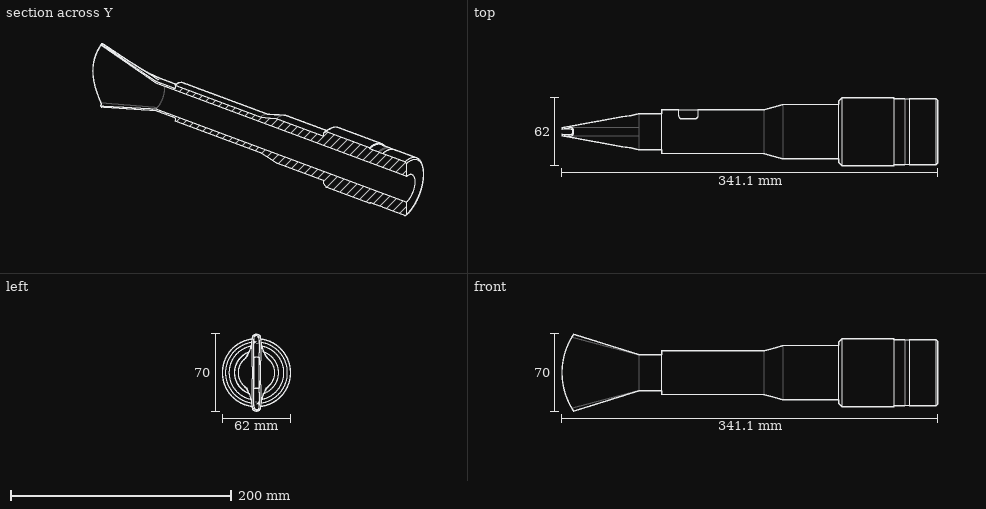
import cadquery as cq
import math

TOTAL_LENGTH = 341.13
NECK_START = 70.0
TUBE_START = 90.5
TAPER_START = 183.2
TAPER_END = 200.5
COLLAR_START = 251.1
COLLAR_END = 301.3

NECK_DIAMETER = 33.0
TUBE_DIAMETER = 39.99
BODY_DIAMETER = 49.5
COLLAR_DIAMETER = 62.0
SLEEVE_DIAMETER = 60.0
COLLAR_CHAMFER = 3.0
SLEEVE_CHAMFER = 1.5

GROOVE_DIAMETER = 59.61
GROOVE_START = 310.7
GROOVE_FLOOR_START = 311.7
GROOVE_END = 315.5

LABEL_START = 106.0
LABEL_LENGTH = 17.4
LABEL_HEIGHT = 32.2
LABEL_CORNER_RADIUS = 2.5
LABEL_DEPTH = 0.2

FAN_HEIGHT = 69.99
FAN_CORNER_X = 10.7
FAN_WIDTH = 7.5
SLIT_WIDTH = 4.5
BORE_DIAMETER = 28.21
FAN_WALL = (FAN_WIDTH - SLIT_WIDTH) / 2
FAN_EDGE_SPREAD = (FAN_HEIGHT - NECK_DIAMETER) / (NECK_START - FAN_CORNER_X)
FAN_FULL_HEIGHT = NECK_DIAMETER + FAN_EDGE_SPREAD * NECK_START


def body_of_revolution():
    """Neck, tube, taper, collar and sleeve turned about the X axis."""
    neck_radius = NECK_DIAMETER / 2
    tube_radius = TUBE_DIAMETER / 2
    body_radius = BODY_DIAMETER / 2
    collar_radius = COLLAR_DIAMETER / 2
    sleeve_radius = SLEEVE_DIAMETER / 2
    groove_radius = GROOVE_DIAMETER / 2
    outline = [
        (NECK_START, 0),
        (NECK_START, neck_radius),
        (TUBE_START, neck_radius),
        (TUBE_START, tube_radius),
        (TAPER_START, tube_radius),
        (TAPER_END, body_radius),
        (COLLAR_START, body_radius),
        (COLLAR_START, collar_radius - COLLAR_CHAMFER),
        (COLLAR_START + COLLAR_CHAMFER, collar_radius),
        (COLLAR_END, collar_radius),
        (COLLAR_END, sleeve_radius),
        (GROOVE_START, sleeve_radius),
        (GROOVE_FLOOR_START, groove_radius),
        (GROOVE_END, groove_radius),
        (GROOVE_END, sleeve_radius),
        (TOTAL_LENGTH - SLEEVE_CHAMFER, sleeve_radius),
        (TOTAL_LENGTH, sleeve_radius - SLEEVE_CHAMFER),
        (TOTAL_LENGTH, 0),
    ]
    return cq.Workplane("XY").polyline(outline).close().revolve(360, (0, 0, 0), (1, 0, 0))


def label_recess():
    """Curved rounded-rectangle skin to remove from the +Y side of the tube."""
    tube_radius = TUBE_DIAMETER / 2
    skin = (
        cq.Workplane("YZ", origin=(LABEL_START, 0, 0))
        .circle(BODY_DIAMETER / 2)
        .circle(tube_radius - LABEL_DEPTH)
        .extrude(LABEL_LENGTH)
    )
    label_center = LABEL_START + LABEL_LENGTH / 2
    window = (
        cq.Workplane("XY")
        .box(LABEL_LENGTH, BODY_DIAMETER, LABEL_HEIGHT, centered=(True, False, True))
        .edges("|Y")
        .fillet(LABEL_CORNER_RADIUS)
        .translate((label_center, 0, 0))
    )
    return skin.intersect(window)


def four_arc_section(x, half_width, straight_end, top, side):
    """Closed section at x: round top and bottom caps joined by two flanks.

    The caps meet the flanks at (+-half_width, +-straight_end) in Y and Z. The caps
    peak at Z = +-top and the flanks reach Y = +-side, so a straight flank has
    side equal to half_width.
    """
    def flank(section, sign):
        if math.isclose(side, half_width):
            return section.lineTo(sign * half_width, sign * straight_end)
        return section.threePointArc((sign * side, 0), (sign * half_width, sign * straight_end))

    section = cq.Workplane("YZ", origin=(x, 0, 0)).moveTo(half_width, -straight_end)
    section = flank(section, 1)
    section = section.threePointArc((0, top), (-half_width, straight_end))
    section = flank(section, -1)
    section = section.threePointArc((0, -top), (half_width, -straight_end))
    return section.wire().val()


def fan_loft(slot_width, slot_height, diameter):
    """Straight-ruled loft from an upright slot at the tip to a circle at the neck."""
    cap_radius = slot_width / 2
    radius = diameter / 2
    slot_top = slot_height / 2
    slot = four_arc_section(0, cap_radius, slot_top - cap_radius, slot_top, cap_radius)
    chord_end = math.sqrt(radius**2 - cap_radius**2)
    circle = four_arc_section(NECK_START, cap_radius, chord_end, radius, radius)
    return cq.Workplane(cq.Solid.makeLoft([slot, circle], True))


def tip_envelope():
    """Plate whose curved front edge gives the fan its bowed tip."""
    half = FAN_HEIGHT / 2
    return (
        cq.Workplane("XZ")
        .moveTo(FAN_CORNER_X, half)
        .threePointArc((0, 0), (FAN_CORNER_X, -half))
        .lineTo(NECK_START, -half)
        .lineTo(NECK_START, half)
        .close()
        .extrude(NECK_DIAMETER / 2, both=True)
    )


def fan_nozzle():
    """Solid fan, bowed at the tip, with edges running straight from neck to tip corners."""
    return fan_loft(FAN_WIDTH, FAN_FULL_HEIGHT, NECK_DIAMETER).intersect(tip_envelope())


def air_passage():
    """Fan-shaped cavity behind the slit, joined to a straight bore through the body."""
    cavity = fan_loft(SLIT_WIDTH, FAN_FULL_HEIGHT - 2 * FAN_WALL, BORE_DIAMETER)
    bore = (
        cq.Workplane("YZ", origin=(NECK_START, 0, 0))
        .circle(BORE_DIAMETER / 2)
        .extrude(TOTAL_LENGTH - NECK_START)
    )
    return cavity.union(bore)


result = body_of_revolution().union(fan_nozzle())
result = result.cut(label_recess())
result = result.cut(air_passage())